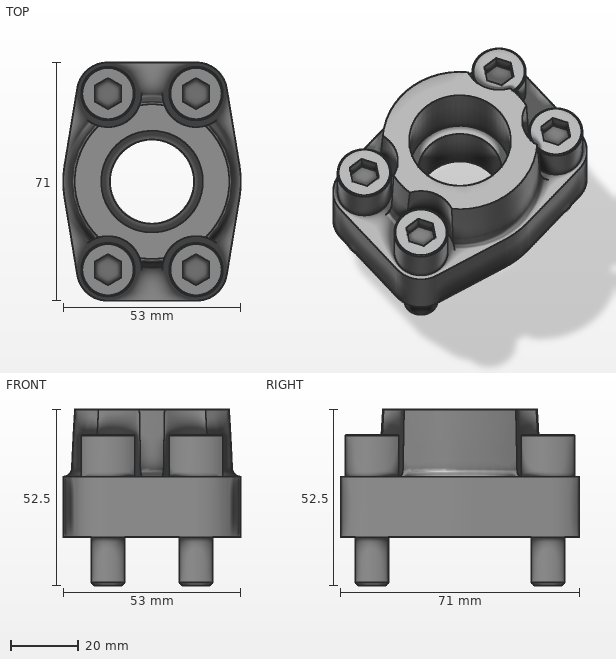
import cadquery as cq
import math

PLATE_LENGTH = 71.0
PLATE_THICKNESS = 18.0
SIDE_RADIUS = 26.5
BOLT_SPACING_X = 26.2
BOLT_SPACING_Y = 52.4
BOLT_X = BOLT_SPACING_X / 2
BOLT_Y = BOLT_SPACING_Y / 2
CORNER_RADIUS = PLATE_LENGTH / 2 - BOLT_Y

HUB_HEIGHT = 20.0
HUB_TOP_RADIUS = 23.0
HUB_DRAFT = math.radians(3.0)
HUB_BASE_RADIUS = HUB_TOP_RADIUS + HUB_HEIGHT * math.tan(HUB_DRAFT)
HUB_FILLET = 2.5
SCALLOP_RADIUS = 10.0

FLANGE_TOP = PLATE_THICKNESS + HUB_HEIGHT
BORE_DIAMETER = 25.0
SOCKET_DIAMETER = 30.29
SOCKET_DEPTH = 20.0

SHANK_DIAMETER = 10.0
SHANK_PROJECTION = 14.5
SHANK_CHAMFER = 1.0
HEAD_DIAMETER = 16.0
HEAD_HEIGHT = 12.5
HEAD_CHAMFER = 0.4
HEX_ACROSS_FLATS = 8.0
HEX_DEPTH = 5.0

BOLT_CENTERS = [(sx * BOLT_X, sy * BOLT_Y) for sx in (-1, 1) for sy in (-1, 1)]


def make_plate():
    """Plate whose tapered sides run tangent to the side arcs and the corner arcs."""
    center_distance = math.hypot(BOLT_X, BOLT_Y)
    center_angle = math.atan2(BOLT_Y, BOLT_X)
    normal = center_angle - math.acos((SIDE_RADIUS - CORNER_RADIUS) / center_distance)
    side_x = SIDE_RADIUS * math.cos(normal)
    side_y = SIDE_RADIUS * math.sin(normal)
    corner_x = BOLT_X + CORNER_RADIUS * math.cos(normal)
    corner_y = BOLT_Y + CORNER_RADIUS * math.sin(normal)
    end_y = PLATE_LENGTH / 2

    middle = (normal + math.pi / 2) / 2
    middle_x = BOLT_X + CORNER_RADIUS * math.cos(middle)
    middle_y = BOLT_Y + CORNER_RADIUS * math.sin(middle)

    return (
        cq.Workplane("XY")
        .moveTo(side_x, -side_y)
        .threePointArc((SIDE_RADIUS, 0), (side_x, side_y))
        .lineTo(corner_x, corner_y)
        .threePointArc((middle_x, middle_y), (BOLT_X, end_y))
        .lineTo(-BOLT_X, end_y)
        .threePointArc((-middle_x, middle_y), (-corner_x, corner_y))
        .lineTo(-side_x, side_y)
        .threePointArc((-SIDE_RADIUS, 0), (-side_x, -side_y))
        .lineTo(-corner_x, -corner_y)
        .threePointArc((-middle_x, -middle_y), (-BOLT_X, -end_y))
        .lineTo(BOLT_X, -end_y)
        .threePointArc((middle_x, -middle_y), (corner_x, -corner_y))
        .close()
        .extrude(PLATE_THICKNESS)
    )


def make_hub():
    """Drafted hub with a flared foot, scalloped around the bolt heads."""
    foot_reach = HUB_FILLET * math.tan((math.pi / 2 - HUB_DRAFT) / 2)
    foot_radius = HUB_BASE_RADIUS + foot_reach
    foot_center_z = PLATE_THICKNESS + HUB_FILLET
    wall_x = foot_radius - HUB_FILLET * math.cos(HUB_DRAFT)
    wall_z = foot_center_z - HUB_FILLET * math.sin(HUB_DRAFT)
    middle = (HUB_DRAFT + math.pi / 2) / 2
    middle_x = foot_radius - HUB_FILLET * math.cos(middle)
    middle_z = foot_center_z - HUB_FILLET * math.sin(middle)

    hub = (
        cq.Workplane("XZ")
        .moveTo(0, PLATE_THICKNESS)
        .lineTo(foot_radius, PLATE_THICKNESS)
        .threePointArc((middle_x, middle_z), (wall_x, wall_z))
        .lineTo(HUB_TOP_RADIUS, FLANGE_TOP)
        .lineTo(0, FLANGE_TOP)
        .close()
        .revolve(360, (0, 0), (0, 1))
    )
    scallops = (
        cq.Workplane("XY", origin=(0, 0, PLATE_THICKNESS))
        .pushPoints(BOLT_CENTERS)
        .circle(SCALLOP_RADIUS)
        .extrude(HUB_HEIGHT)
    )
    return hub.cut(scallops)


def make_bore():
    """Through bore with a wider socket opening at the top of the hub."""
    bore = cq.Workplane("XY").circle(BORE_DIAMETER / 2).extrude(FLANGE_TOP)
    socket = (
        cq.Workplane("XY", origin=(0, 0, FLANGE_TOP))
        .circle(SOCKET_DIAMETER / 2)
        .extrude(-SOCKET_DEPTH)
    )
    return bore.union(socket)


def make_bolt():
    """Socket head bolt on the Z axis, with its head standing on the plate."""
    head_top = PLATE_THICKNESS + HEAD_HEIGHT
    hex_across_corners = HEX_ACROSS_FLATS / math.cos(math.pi / 6)
    shank = (
        cq.Workplane("XY", origin=(0, 0, -SHANK_PROJECTION))
        .circle(SHANK_DIAMETER / 2)
        .extrude(SHANK_PROJECTION + PLATE_THICKNESS)
        .faces("<Z")
        .chamfer(SHANK_CHAMFER)
    )
    head = (
        cq.Workplane("XY", origin=(0, 0, PLATE_THICKNESS))
        .circle(HEAD_DIAMETER / 2)
        .extrude(HEAD_HEIGHT)
        .faces(">Z")
        .chamfer(HEAD_CHAMFER)
    )
    hex_socket = (
        cq.Workplane("XY", origin=(0, 0, head_top))
        .transformed(rotate=(0, 0, 90))
        .polygon(6, hex_across_corners)
        .extrude(-HEX_DEPTH)
    )
    return shank.union(head).cut(hex_socket)


result = make_plate().union(make_hub()).cut(make_bore())
bolt = make_bolt()
for bolt_x, bolt_y in BOLT_CENTERS:
    result = result.union(bolt.translate((bolt_x, bolt_y, 0)))